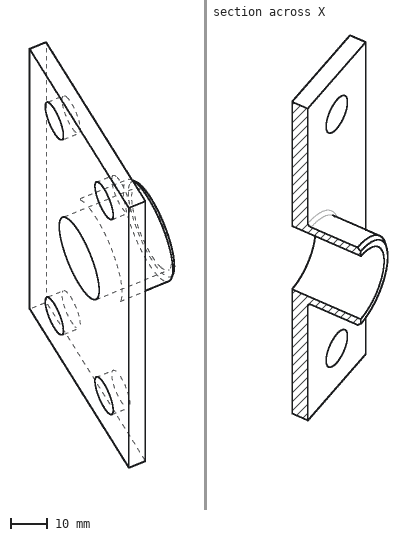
import cadquery as cq
import math

plate_width = 60.0
plate_height = 120.0
plate_thickness = 5.0
total_depth = 22.0

mount_hole_diameter = 11.0
mount_spacing_x = plate_width / 2
mount_spacing_z = plate_height - plate_width / 2

boss_diameter = 30.0
bore_diameter = 24.1
rim_chamfer = 1.0
foot_fillet = 1.0


def make_plate():
    plate = cq.Workplane("XY").box(
        plate_width, plate_thickness, plate_height, centered=(True, False, True)
    )
    holes = (
        cq.Workplane("XZ")
        .rarray(mount_spacing_x, mount_spacing_z, 2, 2)
        .circle(mount_hole_diameter / 2)
        .extrude(-plate_thickness)
    )
    return plate.cut(holes)


def make_boss():
    """Round boss with a chamfered rim and a small concave fillet at its foot."""
    radius = boss_diameter / 2
    fillet_center_x = radius + foot_fillet
    fillet_center_y = plate_thickness + foot_fillet
    arc_offset = foot_fillet * math.sqrt(0.5)
    profile = (
        cq.Workplane("XY")
        .lineTo(0, total_depth)
        .lineTo(radius - rim_chamfer, total_depth)
        .lineTo(radius, total_depth - rim_chamfer)
        .lineTo(radius, fillet_center_y)
        .threePointArc(
            (fillet_center_x - arc_offset, fillet_center_y - arc_offset),
            (fillet_center_x, plate_thickness),
        )
        .lineTo(radius, plate_thickness)
        .lineTo(radius, 0)
        .close()
    )
    return profile.revolve(360, (0, 0), (0, 1))


def make_bore():
    return cq.Workplane("XZ").circle(bore_diameter / 2).extrude(-total_depth)


result = make_plate().union(make_boss()).cut(make_bore())